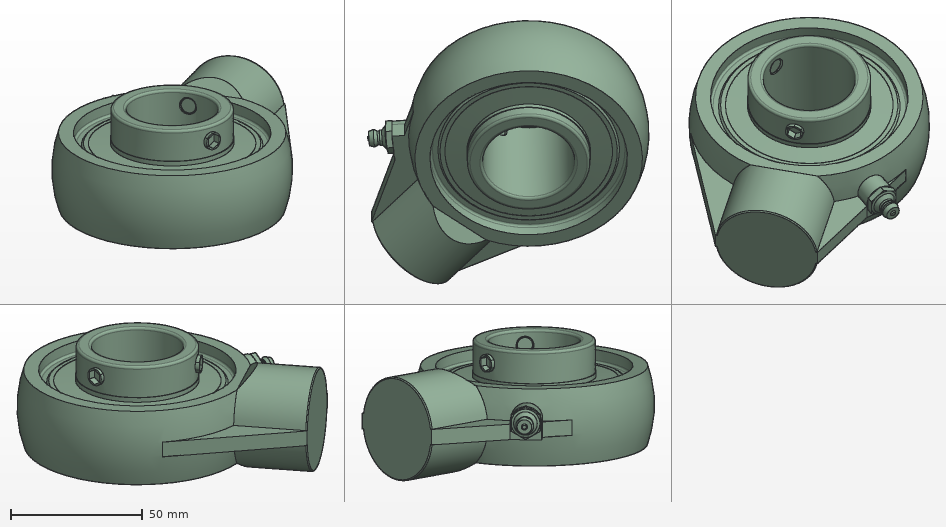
import cadquery as cq
import math


sphere_radius = 45.86
housing_half_width = 15.0
counterbore_radius = 75.2 / 2
counterbore_fillet = 0.9
floor_height = 10.0
seat_radius = 36.0

sleeve_radius = 39.9 / 2
sleeve_end = 115.7 - sphere_radius
sleeve_chamfer = 0.5
sleeve_root = math.sqrt(sphere_radius**2 - sleeve_radius**2)
ramp_length = 5.1
sleeve_embed = 2.3
rib_half_thickness = 3.0

nipple_angle = 135
nipple_height = 3.9
boss_radius = 12.0 / 2
boss_start = 41.6
boss_end = 51.8
hex_flats = 11.0
hex_end = 54.2
cone_start = 54.6
cone_end = 56.0
collar_end = 56.9
neck_end = 57.7
head_middle = 59.1
head_end = 61.1
nub_end = 61.5
cone_radius = 4.5
collar_radius = 6.0 / 2
neck_radius = 2.7
head_radius = 6.8 / 2
head_end_radius = 2.8
nub_base_radius = 1.2
nub_end_radius = 1.5 / 2

outer_half_width = 10.8
outer_face_radius = 67.5 / 2
outer_bore_radius = 62.2 / 2

seal_radius = 63.8 / 2
seal_recess_depth = 0.6
seal_outer_height = 10.6
seal_inner_height = 11.0

inner_top = 25.5
inner_bottom = -17.6
inner_radius = 46.7 / 2
inner_shoulder_radius = 47.2 / 2
inner_shoulder_height = 12.8
inner_fillet = 1.0
inner_bore_radius = 35.0 / 2

screw_angles = (90, -30)
screw_height = 19.3
screw_radius = 6.8 / 2
screw_inner_end = 17.8
screw_outer_end = 24.8
screw_tip_chamfer = 0.5
socket_corners = 6.0
socket_depth = 2.9


def turned(points):
    """Revolve a closed (radius, height) outline about Z."""
    return cq.Workplane("XZ").polyline(points).close().revolve(360, (0, 0, 0), (0, 1, 0))


def ball(radius):
    return cq.Workplane("XY").sphere(radius)


def disc(radius, bottom, top):
    return cq.Workplane("XY").workplane(offset=bottom).circle(radius).extrude(top - bottom)


def radial_plane(angle, distance, height):
    """Plane facing outwards at a radial distance, its local Y pointing along +Z."""
    direction = cq.Vector(math.cos(math.radians(angle)), math.sin(math.radians(angle)), 0)
    origin = direction * distance + cq.Vector(0, 0, height)
    x_direction = cq.Vector(0, 0, 1).cross(direction)
    return cq.Plane(origin=origin.toTuple(), xDir=x_direction.toTuple(), normal=direction.toTuple())


def make_sleeve():
    barrel = (
        cq.Workplane("XZ", origin=(0, sleeve_end, 0))
        .circle(sleeve_radius)
        .extrude(sleeve_end - sleeve_root + sleeve_embed)
        .faces(">Y")
        .chamfer(sleeve_chamfer)
    )
    ramp_end = sleeve_root + ramp_length
    ramp_top = housing_half_width + ramp_length
    side_outline = [
        (sleeve_root - sleeve_embed, -housing_half_width),
        (sleeve_root, -housing_half_width),
        (ramp_end, -ramp_top),
        (sleeve_end, -ramp_top),
        (sleeve_end, ramp_top),
        (ramp_end, ramp_top),
        (sleeve_root, housing_half_width),
        (sleeve_root - sleeve_embed, housing_half_width),
    ]
    envelope = cq.Workplane("YZ").polyline(side_outline).close().extrude(sleeve_radius, both=True)
    return barrel.intersect(envelope)


def make_rib():
    corner_distance = math.hypot(sleeve_radius, sleeve_end)
    tangent_angle = math.atan2(sleeve_end, sleeve_radius) - math.acos(sphere_radius / corner_distance)
    tangent_x = sphere_radius * math.cos(tangent_angle)
    tangent_y = sphere_radius * math.sin(tangent_angle)
    outline = [
        (-tangent_x, tangent_y),
        (tangent_x, tangent_y),
        (sleeve_radius, sleeve_end),
        (-sleeve_radius, sleeve_end),
    ]
    return cq.Workplane("XY").polyline(outline).close().extrude(rib_half_thickness, both=True)


def make_boss():
    length = boss_end - boss_start
    start = radial_plane(nipple_angle, boss_start, nipple_height)
    skirt_height = nipple_height + rib_half_thickness
    dome = cq.Workplane(start).circle(boss_radius).extrude(length)
    skirt = (
        cq.Workplane(start)
        .center(0, -skirt_height / 2)
        .rect(2 * boss_radius, skirt_height)
        .extrude(length)
    )
    below = disc(2 * sphere_radius, -2 * boss_radius, -rib_half_thickness)
    return dome.union(skirt).cut(below)


def make_housing():
    body = ball(sphere_radius).intersect(disc(sphere_radius, -housing_half_width, housing_half_width))
    body = body.union(make_sleeve()).union(make_rib()).union(make_boss())
    upper = disc(counterbore_radius, floor_height, housing_half_width).faces("<Z").edges()
    upper = upper.fillet(counterbore_fillet)
    lower = upper.mirror("XY")
    return body.cut(upper).cut(lower).cut(ball(seat_radius))


def make_outer_ring():
    ring = ball(seat_radius).intersect(disc(seat_radius, -outer_half_width, outer_half_width))
    floor_radius = math.sqrt(seat_radius**2 - floor_height**2)
    envelope = turned([
        (0, -outer_half_width),
        (outer_face_radius, -outer_half_width),
        (floor_radius, -floor_height),
        (seat_radius, 0),
        (floor_radius, floor_height),
        (outer_face_radius, outer_half_width),
        (0, outer_half_width),
    ])
    ring = ring.intersect(envelope)
    ring = ring.cut(disc(outer_bore_radius, -outer_half_width, outer_half_width))
    recess = disc(seal_radius, outer_half_width - seal_recess_depth, outer_half_width)
    return ring.cut(recess).cut(recess.mirror("XY"))


def make_upper_seal():
    bottom = outer_half_width - seal_recess_depth
    return turned([
        (inner_shoulder_radius, bottom),
        (seal_radius, bottom),
        (seal_radius, seal_outer_height),
        (inner_shoulder_radius, seal_inner_height),
    ])


def make_screw_hole(angle):
    start = radial_plane(angle, 0, screw_height)
    return cq.Workplane(start).circle(screw_radius).extrude(2 * inner_radius)


def make_inner_ring():
    bore = disc(inner_bore_radius, inner_bottom, inner_top)
    ring = disc(inner_radius, inner_bottom, inner_top).cut(bore)
    ring = ring.faces("<Z or >Z").edges().fillet(inner_fillet)
    shoulder = disc(inner_shoulder_radius, -inner_shoulder_height, inner_shoulder_height)
    ring = ring.union(shoulder.cut(bore))
    for angle in screw_angles:
        ring = ring.cut(make_screw_hole(angle))
    return ring


def make_set_screw(angle):
    start = radial_plane(angle, screw_inner_end, screw_height)
    end = radial_plane(angle, screw_outer_end, screw_height)
    screw = cq.Workplane(start).circle(screw_radius).extrude(screw_outer_end - screw_inner_end)
    tip = cq.selectors.NearestToPointSelector(start.origin.toTuple())
    screw = screw.faces(tip).chamfer(screw_tip_chamfer)
    socket = (
        cq.Workplane(end)
        .transformed(rotate=(0, 0, 90))
        .polygon(6, socket_corners)
        .extrude(-socket_depth)
    )
    return screw.cut(socket)


def make_grease_nipple():
    base = radial_plane(nipple_angle, boss_end, nipple_height)
    hex_corners = hex_flats / math.cos(math.radians(30))
    nut = (
        cq.Workplane(base)
        .transformed(rotate=(0, 0, 90))
        .polygon(6, hex_corners)
        .extrude(hex_end - boss_end)
    )
    direction = base.zDir.toTuple()
    axis_plane = cq.Plane(origin=(0, 0, nipple_height), xDir=direction, normal=base.xDir.toTuple())
    stem = (
        cq.Workplane(axis_plane)
        .polyline([
            (boss_end, 0),
            (boss_end, hex_flats / 2),
            (hex_end, hex_flats / 2),
            (cone_start, cone_radius),
            (cone_end, collar_radius),
            (collar_end, collar_radius),
            (collar_end, neck_radius),
            (neck_end, neck_radius),
            (head_middle, head_radius),
            (head_end, head_end_radius),
            (head_end, nub_base_radius),
            (nub_end, nub_end_radius),
            (nub_end, 0),
        ])
        .close()
        .revolve(360, (0, 0, 0), (1, 0, 0))
    )
    return nut.union(stem)


housing = make_housing()
outer_ring = make_outer_ring()
upper_seal = make_upper_seal()
lower_seal = upper_seal.mirror("XY")
inner_ring = make_inner_ring()
set_screws = [make_set_screw(angle) for angle in screw_angles]
grease_nipple = make_grease_nipple()

result = cq.Compound.makeCompound([
    housing.val(),
    outer_ring.val(),
    upper_seal.val(),
    lower_seal.val(),
    inner_ring.val(),
    *[screw.val() for screw in set_screws],
    grease_nipple.val(),
])